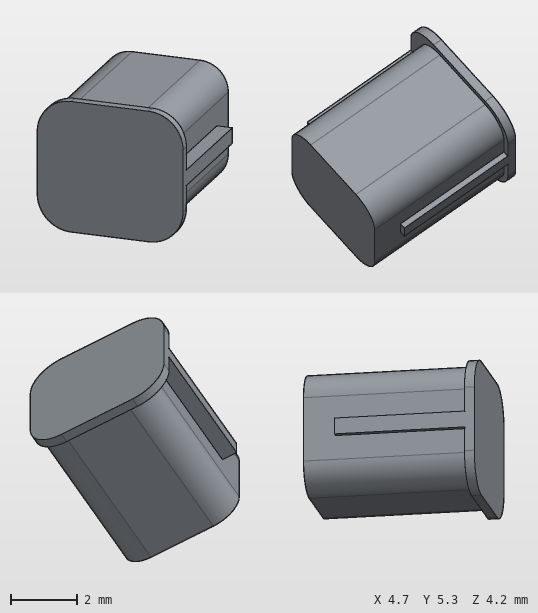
import cadquery as cq

flange_width = 4.7
flange_height = 4.2
flange_thickness = 0.3
flange_radius = 1.1

total_length = 5.3
left_margin = 0.19
right_margin = 0.5
vertical_margin = 0.19
body_width = flange_width - left_margin - right_margin
body_height = flange_height - 2 * vertical_margin
body_length = total_length - flange_thickness
body_offset = (left_margin - right_margin) / 2
body_radius = flange_radius - vertical_margin

rib_length = 4.0
rib_height = 0.5


def block(width, length, height, center_x, front_y):
    """Box centred on Z = 0 and running toward +Y from front_y."""
    return cq.Workplane("XY").box(
        width, length, height, centered=(True, False, True)
    ).translate((center_x, front_y, 0))


flange = block(flange_width, flange_thickness, flange_height, 0, 0)
flange = flange.edges("|Y").fillet(flange_radius)

body = block(body_width, body_length, body_height, body_offset, flange_thickness)
body = body.edges("|Y").fillet(body_radius)

ribs = block(flange_width, rib_length, rib_height, 0, flange_thickness)

result = flange.union(body).union(ribs)